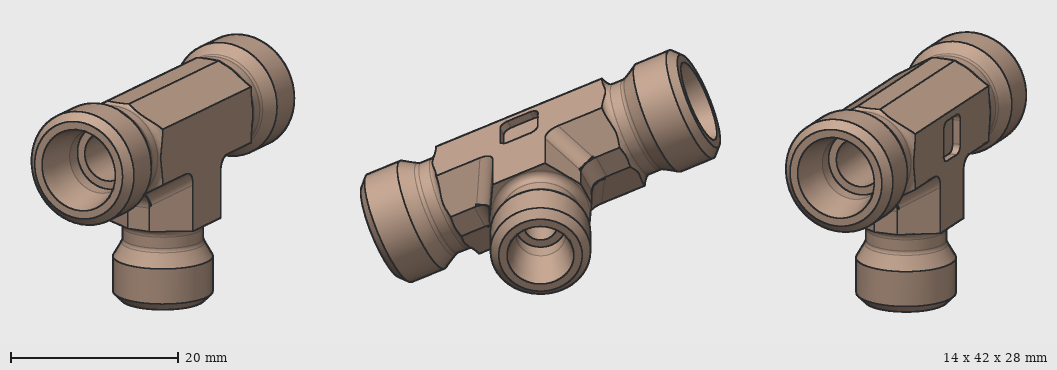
import cadquery as cq
import math

BODY_HALF_WIDTH = 6.0
BODY_HALF_HEIGHT = 6.07
HEX_ANGLE = math.radians(30)
BODY_EDGE = BODY_HALF_WIDTH * math.tan(HEX_ANGLE)
HEX_APEX = BODY_HALF_WIDTH / math.cos(HEX_ANGLE)
BODY_FLAT = (HEX_APEX - BODY_HALF_HEIGHT) / math.tan(HEX_ANGLE)
BODY_REACH = 11.0
BODY_FILLET = 2.0

END_REACH = 21.0
THREAD_LENGTH = 5.35
END_CHAMFER = 1.0
SHOULDER_ANGLE = math.radians(30)
NECK_FILLET = 1.0
RUN_THREAD_DIAMETER = 14.0
RUN_NECK_DIAMETER = 11.7
BRANCH_THREAD_DIAMETER = 12.0
BRANCH_NECK_DIAMETER = 9.7

RUN_TUBE_DIAMETER = 8.0
RUN_BORE_DIAMETER = 6.0
BRANCH_TUBE_DIAMETER = 6.0
BRANCH_BORE_DIAMETER = 4.0
MOUTH_STEP = 1.0
CONE_DEPTH = 5.0
SOCKET_DEPTH = 7.0

POCKET_SIZE = 5.0
POCKET_CORNER = 1.0
POCKET_DEPTH = 1.0

TO_MINUS_Y = 0
TO_PLUS_Y = 180
TO_BRANCH = 90

TOLERANCE = 1e-3


def aim(shape, angle):
    """Turn a shape built along -Y about the X axis."""
    return shape.rotate((0, 0, 0), (1, 0, 0), angle)


def body_bar(length):
    """Flattened hexagonal bar along -Y, starting at the tee centre."""
    outline = [
        (BODY_HALF_WIDTH, BODY_EDGE),
        (BODY_FLAT, BODY_HALF_HEIGHT),
        (-BODY_FLAT, BODY_HALF_HEIGHT),
        (-BODY_HALF_WIDTH, BODY_EDGE),
        (-BODY_HALF_WIDTH, -BODY_EDGE),
        (-BODY_FLAT, -BODY_HALF_HEIGHT),
        (BODY_FLAT, -BODY_HALF_HEIGHT),
        (BODY_HALF_WIDTH, -BODY_EDGE),
    ]
    return cq.Workplane("XZ").polyline(outline).close().extrude(length)


def is_inner_corner(edge):
    """True for run-to-branch joint edges, which lie on the planes z = -|y|."""
    if edge.geomType() != "LINE":
        return False
    ends = [edge.startPoint(), edge.endPoint()]
    on_miter = all(abs(point.z + abs(point.y)) < TOLERANCE for point in ends)
    return on_miter and abs(edge.Center().y) > TOLERANCE


def make_body():
    """Tee-shaped wrench body with rounded inner corners."""
    run = body_bar(2 * BODY_REACH).translate((0, BODY_REACH, 0))
    body = run.union(aim(body_bar(BODY_REACH), TO_BRANCH))
    corners = [edge for edge in body.edges().vals() if is_inner_corner(edge)]
    return body.newObject(corners).fillet(BODY_FILLET)


def marking_pocket():
    """Shallow rounded square sunk into the -X face of the body."""
    return (
        cq.Workplane("YZ", origin=(-BODY_HALF_WIDTH, 0, 0))
        .rect(POCKET_SIZE, POCKET_SIZE)
        .extrude(POCKET_DEPTH)
        .edges("|X")
        .fillet(POCKET_CORNER)
    )


def revolve_about_y(profile):
    """Full turn of a closed XY profile about the Y axis."""
    return profile.close().revolve(360, (0, 0, 0), (0, 1, 0))


def threaded_end(thread_diameter, neck_diameter):
    """Chamfered thread, conical shoulder and neck along -Y."""
    thread_radius = thread_diameter / 2
    neck_radius = neck_diameter / 2
    thread_start = END_REACH - THREAD_LENGTH
    shoulder_foot = thread_start - (thread_radius - neck_radius) / math.tan(SHOULDER_ANGLE)

    half_turn = SHOULDER_ANGLE / 2
    tangent = NECK_FILLET * math.tan(half_turn)
    fillet_start = shoulder_foot - tangent
    fillet_middle_radius = neck_radius + NECK_FILLET * (1 - math.cos(half_turn))
    fillet_middle = fillet_start + NECK_FILLET * math.sin(half_turn)
    fillet_end_radius = neck_radius + tangent * math.sin(SHOULDER_ANGLE)
    fillet_end = shoulder_foot + tangent * math.cos(SHOULDER_ANGLE)

    return revolve_about_y(
        cq.Workplane("XY")
        .moveTo(0, -END_REACH)
        .lineTo(thread_radius - END_CHAMFER, -END_REACH)
        .lineTo(thread_radius, -(END_REACH - END_CHAMFER))
        .lineTo(thread_radius, -thread_start)
        .lineTo(fillet_end_radius, -fillet_end)
        .threePointArc((fillet_middle_radius, -fillet_middle), (neck_radius, -fillet_start))
        .lineTo(neck_radius, -BODY_REACH)
        .lineTo(0, -BODY_REACH)
    )


def neck_flare(neck_diameter):
    """Concave flare from the neck to the body end, trimmed to the body outline."""
    neck_radius = neck_diameter / 2
    flare_end = BODY_REACH + NECK_FILLET
    inset = NECK_FILLET * (1 - math.cos(math.radians(45)))
    flare = revolve_about_y(
        cq.Workplane("XY")
        .moveTo(0, -BODY_REACH)
        .lineTo(neck_radius + NECK_FILLET, -BODY_REACH)
        .threePointArc((neck_radius + inset, -(BODY_REACH + inset)), (neck_radius, -flare_end))
        .lineTo(0, -flare_end)
    )
    return flare.intersect(body_bar(flare_end))


def socket(tube_diameter, bore_diameter):
    """Conical mouth, tube seat and through bore along -Y."""
    tube_radius = tube_diameter / 2
    bore_radius = bore_diameter / 2
    cone_end = END_REACH - CONE_DEPTH
    seat = END_REACH - SOCKET_DEPTH
    return revolve_about_y(
        cq.Workplane("XY")
        .moveTo(0, -END_REACH)
        .lineTo(tube_radius + MOUTH_STEP, -END_REACH)
        .lineTo(tube_radius, -cone_end)
        .lineTo(tube_radius, -seat)
        .lineTo(bore_radius, -seat)
        .lineTo(bore_radius, 0)
        .lineTo(0, 0)
    )


RUN_END = (
    RUN_THREAD_DIAMETER,
    RUN_NECK_DIAMETER,
    RUN_TUBE_DIAMETER,
    RUN_BORE_DIAMETER,
)
BRANCH_END = (
    BRANCH_THREAD_DIAMETER,
    BRANCH_NECK_DIAMETER,
    BRANCH_TUBE_DIAMETER,
    BRANCH_BORE_DIAMETER,
)
ENDS = [
    (TO_MINUS_Y, RUN_END),
    (TO_PLUS_Y, RUN_END),
    (TO_BRANCH, BRANCH_END),
]


def make_tee():
    """Body with its three threaded ends, then the bores cut through all of them."""
    tee = make_body().cut(marking_pocket())
    for direction, (thread, neck, _, _) in ENDS:
        tee = tee.union(aim(threaded_end(thread, neck), direction))
        tee = tee.union(aim(neck_flare(neck), direction))
    for direction, (_, _, tube, bore) in ENDS:
        tee = tee.cut(aim(socket(tube, bore), direction))
    return tee


result = make_tee()